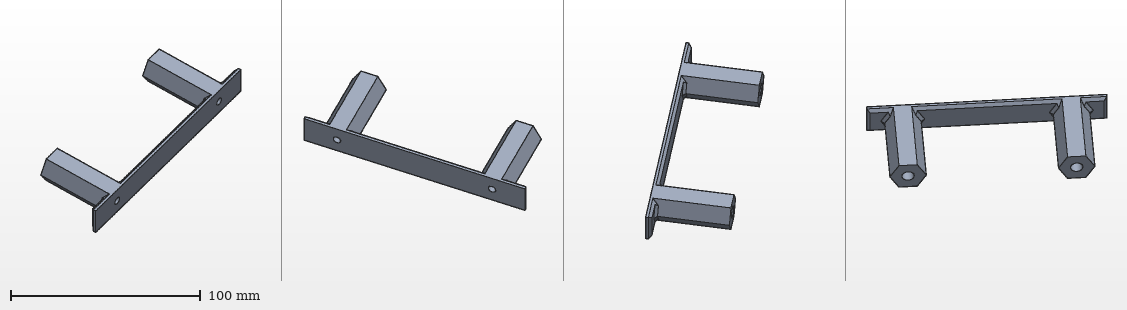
import cadquery as cq
import math

total_depth = 43.2
plate_length = 126.8
plate_height = 16.7
plate_thickness = 3.2
bevel = 1.6
post_spacing = 89.0
bore_diameter = 6.5
bore_depth = 25.4
through_diameter = 4.2

rim_thickness = plate_thickness - bevel
root_depth = plate_thickness + bevel
post_centers = (-post_spacing / 2, post_spacing / 2)
flats_to_corners = 1 / math.cos(math.pi / 6)
post_corners = plate_height * flats_to_corners
root_corners = (plate_height + 2 * bevel) * flats_to_corners


def plane_toward_post_end(distance, y=0):
    """Sketch plane at a distance from the plate back, with local x along -Y and local y along Z."""
    return cq.Workplane(cq.Plane(origin=(-distance, y, 0), xDir=(0, -1, 0), normal=(-1, 0, 0)))


def make_bevel_envelope():
    """Plate outline whose 45 degree rim bevel keeps rising as far as the post roots."""
    rise = root_depth - rim_thickness
    rim = plane_toward_post_end(0).rect(plate_length, plate_height).extrude(rim_thickness)
    slope = (
        plane_toward_post_end(rim_thickness)
        .rect(plate_length, plate_height)
        .workplane(offset=rise)
        .rect(plate_length - 2 * rise, plate_height - 2 * rise)
        .loft(ruled=True)
    )
    return rim.union(slope)


def make_root(y):
    """Hexagonal collar that tapers from the plate face to the post."""
    return (
        plane_toward_post_end(plate_thickness, y)
        .polygon(6, root_corners)
        .workplane(offset=bevel)
        .polygon(6, post_corners)
        .loft(ruled=True)
    )


def make_post(y):
    """Hexagonal post running through the plate, with flats level with the plate edges."""
    return plane_toward_post_end(0, y).polygon(6, post_corners).extrude(total_depth)


def make_stepped_hole(y):
    """Narrow through hole that opens into a wider bore at the free end."""
    narrow = plane_toward_post_end(0, y).circle(through_diameter / 2).extrude(total_depth)
    bore = (
        plane_toward_post_end(total_depth - bore_depth, y)
        .circle(bore_diameter / 2)
        .extrude(bore_depth)
    )
    return narrow.union(bore)


base = plane_toward_post_end(0).rect(plate_length, plate_height).extrude(plate_thickness)
for center in post_centers:
    base = base.union(make_root(center))
result = base.intersect(make_bevel_envelope())

for center in post_centers:
    result = result.union(make_post(center)).cut(make_stepped_hole(center))

result = result.translate((total_depth / 2, 0, 0))